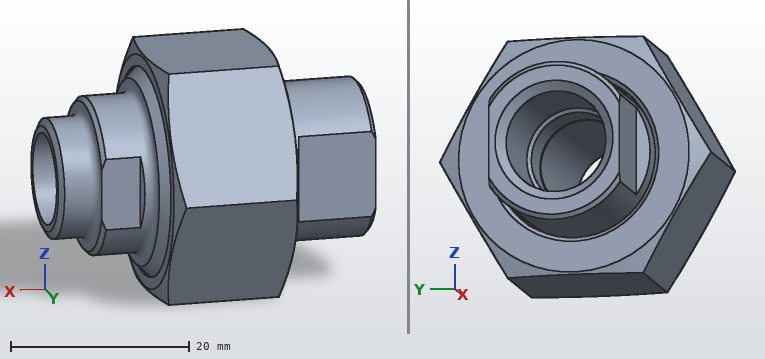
import cadquery as cq
import math


nut_start = 10.5
nut_length = 14.5
nut_end = nut_start + nut_length
lip_end = nut_start + 3.5
joint_face = lip_end + 3.0
shoulder_face = 26.0
collar_end = 32.0
union_length = 36.5

tail_radius = 18.0 / 2
tail_flange_radius = 22.0 / 2
tail_chamfer = 0.5
tail_flat_width = 15.0
tail_flat_length = 9.0
socket_radius = 11.45 / 2
socket_mouth_radius = 13.55 / 2
socket_depth = 12.0
tail_bore_radius = 10.6 / 2

thread_radius = 23.85 / 2
thread_chamfer = 1.3
collar_radius = 18.0 / 2
collar_chamfer = 0.5
body_flat_width = 16.0
body_flat_start = 27.5
spigot_radius = 13.7 / 2
spigot_chamfer_length = 0.5
spigot_chamfer_depth = spigot_chamfer_length * math.tan(math.radians(60))
neck_fillet = 0.8
body_bore_radius = 10.4 / 2

hex_across_flats = 27.0
hex_across_corners = hex_across_flats / math.cos(math.radians(30))
hex_face_radius = 26.5 / 2
hex_chamfer_angle = 20.0
nut_hole_radius = 18.5 / 2
nut_hole_chamfer = 0.5

flat_wall_slope = math.tan(math.radians(15))


def revolve_about_x(half_profile):
    """Full turn of a closed profile whose X is the axis and whose Y is the radius."""
    return half_profile.close().revolve(360, (0, 0, 0), (1, 0, 0))


def flat_cutters(flat_width, open_x, wall_x, stock_radius):
    """Two cutters that leave flats facing -Y and +Y, from open_x to the leaning wall at wall_x."""
    half_width = flat_width / 2
    cut_depth = 2 * (stock_radius - half_width)
    away = math.copysign(1, wall_x - open_x)
    lean = away * cut_depth * flat_wall_slope
    one_side = (
        cq.Workplane("XY")
        .moveTo(open_x, half_width)
        .lineTo(wall_x, half_width)
        .lineTo(wall_x + lean, half_width + cut_depth)
        .lineTo(open_x, half_width + cut_depth)
        .close()
        .extrude(stock_radius, both=True)
    )
    return one_side.union(one_side.mirror("XZ"))


def make_tail():
    """Threaded-socket tail piece with a flange that the nut pulls against the body."""
    mouth_depth = socket_mouth_radius - socket_radius
    socket_cone_length = socket_radius - tail_bore_radius
    turned = revolve_about_x(
        cq.Workplane("XY")
        .moveTo(0, socket_mouth_radius)
        .lineTo(0, tail_radius - tail_chamfer)
        .lineTo(tail_chamfer, tail_radius)
        .lineTo(lip_end, tail_radius)
        .lineTo(lip_end, tail_flange_radius)
        .lineTo(joint_face, tail_flange_radius)
        .lineTo(joint_face, tail_bore_radius)
        .lineTo(socket_depth + socket_cone_length, tail_bore_radius)
        .lineTo(socket_depth, socket_radius)
        .lineTo(mouth_depth, socket_radius)
    )
    return turned.cut(flat_cutters(tail_flat_width, 0, tail_flat_length, tail_radius))


def make_body():
    """Body with a large threaded head inside the nut, a collar with flats and an end spigot."""
    collar = (
        revolve_about_x(
            cq.Workplane("XY")
            .moveTo(shoulder_face, 0)
            .lineTo(shoulder_face, collar_radius + neck_fillet)
            .radiusArc((shoulder_face + neck_fillet, collar_radius), -neck_fillet)
            .lineTo(collar_end - collar_chamfer, collar_radius)
            .lineTo(collar_end, collar_radius - collar_chamfer)
            .lineTo(collar_end, 0)
        )
        .cut(flat_cutters(body_flat_width, collar_end, body_flat_start, collar_radius))
    )
    head = revolve_about_x(
        cq.Workplane("XY")
        .moveTo(joint_face, 0)
        .lineTo(joint_face, thread_radius)
        .lineTo(shoulder_face - thread_chamfer, thread_radius)
        .lineTo(shoulder_face, thread_radius - thread_chamfer)
        .lineTo(shoulder_face, 0)
    )
    spigot = revolve_about_x(
        cq.Workplane("XY")
        .moveTo(collar_end, 0)
        .lineTo(collar_end, spigot_radius + neck_fillet)
        .radiusArc((collar_end + neck_fillet, spigot_radius), -neck_fillet)
        .lineTo(union_length - spigot_chamfer_length, spigot_radius)
        .lineTo(union_length, spigot_radius - spigot_chamfer_depth)
        .lineTo(union_length, 0)
    )
    bore = cq.Workplane("YZ").circle(body_bore_radius).extrude(union_length)
    return head.union(collar).union(spigot).cut(bore)


def make_nut():
    """Hexagonal nut, corners on the Y axis, with a lip around the tail and a bore for the body."""
    hexagon = (
        cq.Workplane("YZ", origin=(nut_start, 0, 0))
        .polygon(6, hex_across_corners)
        .extrude(nut_length)
    )
    corner_radius = hex_across_corners / 2
    chamfer_length = (corner_radius - hex_face_radius) * math.tan(math.radians(hex_chamfer_angle))
    turned_blank = revolve_about_x(
        cq.Workplane("XY")
        .moveTo(nut_start, nut_hole_radius + nut_hole_chamfer)
        .lineTo(nut_start, hex_face_radius)
        .lineTo(nut_start + chamfer_length, corner_radius)
        .lineTo(nut_end - chamfer_length, corner_radius)
        .lineTo(nut_end, hex_face_radius)
        .lineTo(nut_end, thread_radius)
        .lineTo(lip_end, thread_radius)
        .lineTo(lip_end, nut_hole_radius)
        .lineTo(nut_start + nut_hole_chamfer, nut_hole_radius)
    )
    return hexagon.intersect(turned_blank)


tail = make_tail()
body = make_body()
nut = make_nut()

result = cq.Compound.makeCompound([part.solids().val() for part in (tail, body, nut)])